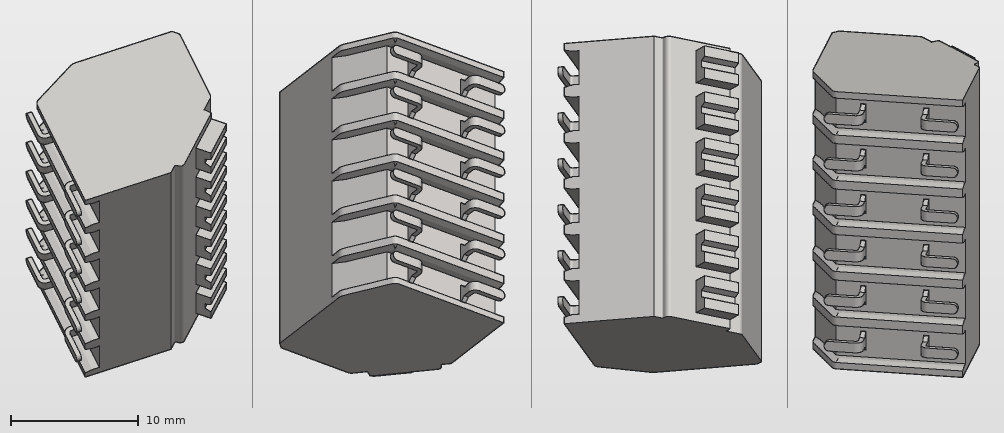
import cadquery as cq
import math

POLES = 6
PITCH = 3.81
HEIGHT = 23.25
WIDTH = 12.7
DEPTH = 12.9
MID_Z = HEIGHT / 2

REAR_CHAMFER = 0.46
RAMP_TOP = 4.05
RAMP_FOOT = 2.42
RAMP_TOP_RADIUS = 1.0
RAMP_FOOT_RADIUS = 0.5
SLOPE_SUM = 19.93
SLOPE_TOP_RADIUS = 0.46
PANEL_NEAR_X = 8.0
PANEL_FAR_X = 12.14
PANEL_FLANK_LONG = 0.5
PANEL_FLANK_SHORT = 0.4
PANEL_RADIUS = 0.37
PANEL_FOOT_RADIUS = 0.12

FLOOR_Y = 1.19
BAY_TOP = 5.23
RIB_EDGE = 0.72
FLARE_RISE = 0.15
FLARE_RUN = 0.6

BUTTON_LENGTH = 3.1
BUTTON_RISE = 1.28
BUTTON_WIDTH = 2.67
GROOVE_WIDTH = 0.98
GROOVE_FLOOR = 0.5
GROOVE_DEPTH = 0.5

PIN_THICKNESS = 0.4
PIN_WIDTH = 0.81
PIN_TIP_RADIUS = 0.4
PIN_BOTTOM = -0.58
PIN_LENGTH = 3.0
PIN_BEND = 0.6
PIN_BACKS = ((4.8, -1), (9.4, 1))
SHOULDER_WIDTH = 1.53
SHOULDER_END = 1.07
NECK_START = 0.67

OVERSHOOT = 1.16


def prism(points, height=HEIGHT):
    return cq.Workplane("XY").polyline(points).close().extrude(height)


def round_corner(solid, x, y, radius):
    """Fillet the Z edge that passes through (x, y)."""
    corner = cq.selectors.BoxSelector((x - 0.02, y - 0.02, -0.23), (x + 0.02, y + 0.02, HEIGHT + 0.23))
    return solid.edges("|Z").edges(corner).fillet(radius)


def round_ramp(solid):
    solid = round_corner(solid, 0, RAMP_TOP, RAMP_TOP_RADIUS)
    return round_corner(solid, RAMP_FOOT, 0, RAMP_FOOT_RADIUS)


panel_near_foot = (PANEL_NEAR_X, SLOPE_SUM - PANEL_NEAR_X)
panel_far_foot = (PANEL_FAR_X, SLOPE_SUM - PANEL_FAR_X)
panel_near_top = (panel_near_foot[0] + PANEL_FLANK_LONG, panel_near_foot[1] + PANEL_FLANK_SHORT)
panel_far_top = (panel_far_foot[0] + PANEL_FLANK_SHORT, panel_far_foot[1] + PANEL_FLANK_LONG)
slope_top = (SLOPE_SUM - DEPTH, DEPTH)

envelope = prism([
    (0, RAMP_TOP),
    (RAMP_FOOT, 0),
    (WIDTH, 0),
    (WIDTH, SLOPE_SUM - WIDTH),
    panel_far_foot,
    panel_far_top,
    panel_near_top,
    panel_near_foot,
    slope_top,
    (REAR_CHAMFER, DEPTH),
    (0, DEPTH - REAR_CHAMFER),
])
envelope = round_ramp(envelope)
envelope = round_corner(envelope, *slope_top, SLOPE_TOP_RADIUS)
envelope = round_corner(envelope, *panel_far_top, PANEL_RADIUS)
envelope = round_corner(envelope, *panel_far_foot, PANEL_FOOT_RADIUS)

floor_corner = ((BAY_TOP - FLOOR_Y) * RAMP_FOOT / RAMP_TOP, FLOOR_Y)
bay_space = prism([
    (0, BAY_TOP),
    floor_corner,
    (WIDTH + OVERSHOOT, FLOOR_Y),
    (WIDTH + OVERSHOOT, -OVERSHOOT),
    (-OVERSHOOT, -OVERSHOOT),
    (-OVERSHOOT, BAY_TOP),
])
core = envelope.cut(bay_space)


def half_rib():
    """Upper half of a rib, overlapping the core and running past the +X side."""
    half = prism([
        (0, RAMP_TOP),
        (RAMP_FOOT, 0),
        (WIDTH + OVERSHOOT, 0),
        (WIDTH + OVERSHOOT, BAY_TOP + OVERSHOOT),
        (0, BAY_TOP + OVERSHOOT),
    ], RIB_EDGE / 2)
    half = round_ramp(half)
    flare_angle = math.degrees(math.atan2(FLARE_RUN, FLARE_RISE))
    return half.faces(">Z").wires().toPending().workplane().extrude(FLARE_RISE, taper=flare_angle)


def rib(z):
    half = half_rib()
    whole = half.union(half.mirror("XY"))
    return whole.translate((0, 0, z)).intersect(envelope)


def button(z):
    """Block standing on the raised panel, grooved along its length."""
    plane = cq.Plane(
        origin=(panel_near_top[0], panel_near_top[1], z),
        xDir=(0, 0, 1),
        normal=(1, -1, 0),
    )
    return (
        cq.Workplane(plane)
        .polyline([
            (-BUTTON_WIDTH / 2, OVERSHOOT / 2),
            (-BUTTON_WIDTH / 2, -BUTTON_RISE),
            (-GROOVE_WIDTH / 2, -BUTTON_RISE),
            (-GROOVE_FLOOR / 2, GROOVE_DEPTH - BUTTON_RISE),
            (GROOVE_FLOOR / 2, GROOVE_DEPTH - BUTTON_RISE),
            (GROOVE_WIDTH / 2, -BUTTON_RISE),
            (BUTTON_WIDTH / 2, -BUTTON_RISE),
            (BUTTON_WIDTH / 2, OVERSHOOT / 2),
        ])
        .close()
        .extrude(BUTTON_LENGTH)
    )


def pin(back_x, side):
    """L-shaped strip centred on Z = 0: an upright with a wide root and a foot with a round tip."""
    root_y = FLOOR_Y + PIN_THICKNESS
    front_x = back_x + side * PIN_THICKNESS
    tip_x = back_x + side * PIN_LENGTH
    foot_top = PIN_BOTTOM + PIN_THICKNESS
    strip = (
        cq.Workplane("XY")
        .polyline([
            (back_x, root_y),
            (back_x, PIN_BOTTOM),
            (tip_x, PIN_BOTTOM),
            (tip_x, foot_top),
            (front_x, foot_top),
            (front_x, root_y),
        ])
        .close()
        .extrude(SHOULDER_WIDTH / 2, both=True)
    )
    strip = round_corner(strip, back_x, PIN_BOTTOM, PIN_BEND)
    strip = round_corner(strip, front_x, foot_top, PIN_BEND - PIN_THICKNESS)

    width_profile = (
        cq.Workplane("YZ")
        .polyline([
            (root_y, SHOULDER_WIDTH / 2),
            (SHOULDER_END, SHOULDER_WIDTH / 2),
            (NECK_START, PIN_WIDTH / 2),
            (PIN_BOTTOM, PIN_WIDTH / 2),
            (PIN_BOTTOM, -PIN_WIDTH / 2),
            (NECK_START, -PIN_WIDTH / 2),
            (SHOULDER_END, -SHOULDER_WIDTH / 2),
            (root_y, -SHOULDER_WIDTH / 2),
        ])
        .close()
        .extrude(WIDTH)
    )
    strip = strip.intersect(width_profile)
    tip_edges = ">X" if side > 0 else "<X"
    return strip.edges("|Y").edges(tip_edges).fillet(PIN_TIP_RADIUS)


result = core
for i in range(POLES + 1):
    result = result.union(rib(MID_Z + (i - POLES / 2) * PITCH))

pins = [pin(back_x, side) for back_x, side in PIN_BACKS]
for i in range(POLES):
    pole_z = MID_Z + (i - (POLES - 1) / 2) * PITCH
    result = result.union(button(pole_z))
    for pole_pin in pins:
        result = result.union(pole_pin.translate((0, 0, pole_z)))